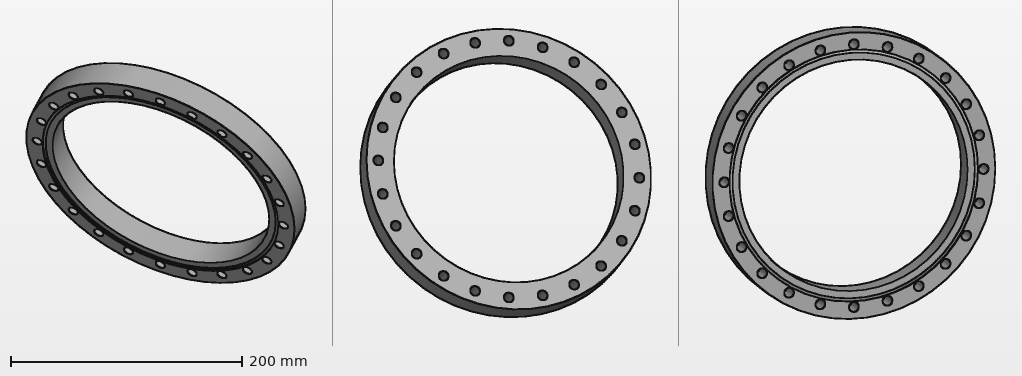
import cadquery as cq

OUTER_RADIUS = 126.5
BORE_RADIUS = 102.0
THICKNESS = 24.5
EDGE_CHAMFER = 0.3

RECESS_RADIUS = 111.2
RECESS_DEPTH = 1.5
KNIFE_RADIUS = 108.4
KNIFE_TIP_DEPTH = 0.5
INNER_FLOOR_DEPTH = 1.3

BOLT_COUNT = 24
BOLT_CIRCLE_RADIUS = 116.0
BOLT_HOLE_DIAMETER = 8.4

FRONT_Y = -THICKNESS / 2
BACK_Y = THICKNESS / 2


def make_ring():
    """Revolve the half section, including the rim chamfers and the knife edge."""
    section = (
        cq.Workplane("XY")
        .moveTo(BORE_RADIUS, BACK_Y)
        .lineTo(OUTER_RADIUS - EDGE_CHAMFER, BACK_Y)
        .lineTo(OUTER_RADIUS, BACK_Y - EDGE_CHAMFER)
        .lineTo(OUTER_RADIUS, FRONT_Y + EDGE_CHAMFER)
        .lineTo(OUTER_RADIUS - EDGE_CHAMFER, FRONT_Y)
        .lineTo(RECESS_RADIUS, FRONT_Y)
        .lineTo(RECESS_RADIUS, FRONT_Y + RECESS_DEPTH)
        .lineTo(KNIFE_RADIUS, FRONT_Y + KNIFE_TIP_DEPTH)
        .lineTo(KNIFE_RADIUS, FRONT_Y + INNER_FLOOR_DEPTH)
        .lineTo(BORE_RADIUS, FRONT_Y + INNER_FLOOR_DEPTH)
        .close()
    )
    return section.revolve(360, (0, 0, 0), (0, 1, 0))


def make_bolt_hole():
    """Through-hole cutter along Y that widens to a small chamfer at both faces."""
    hole_radius = BOLT_HOLE_DIAMETER / 2
    mouth_radius = hole_radius + EDGE_CHAMFER
    section = (
        cq.Workplane("XY")
        .moveTo(0, FRONT_Y)
        .lineTo(mouth_radius, FRONT_Y)
        .lineTo(hole_radius, FRONT_Y + EDGE_CHAMFER)
        .lineTo(hole_radius, BACK_Y - EDGE_CHAMFER)
        .lineTo(mouth_radius, BACK_Y)
        .lineTo(0, BACK_Y)
        .close()
    )
    return section.revolve(360, (0, 0, 0), (0, 1, 0))


def cut_bolt_holes(ring):
    """Cut the holes evenly spaced on the bolt circle, the first on the +X axis."""
    first_hole = make_bolt_hole().translate((BOLT_CIRCLE_RADIUS, 0, 0))
    for index in range(BOLT_COUNT):
        angle = index * 360 / BOLT_COUNT
        ring = ring.cut(first_hole.rotate((0, 0, 0), (0, 1, 0), angle))
    return ring


result = cut_bolt_holes(make_ring())